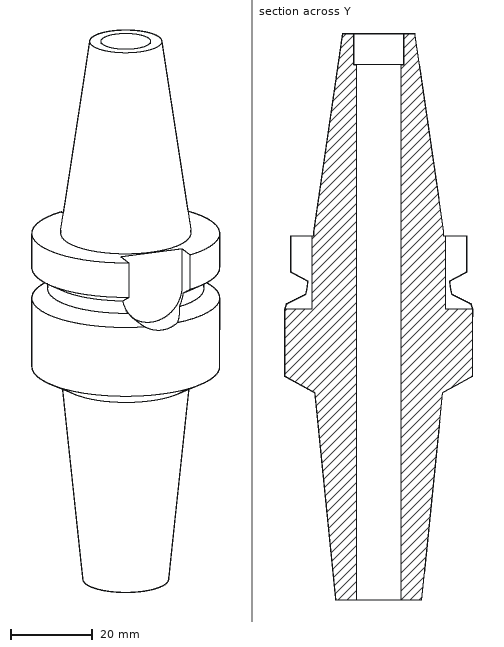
import cadquery as cq


taper_length = 48.5
gauge_radius = 15.9
taper_ratio = 7 / 24
taper_tip_radius = gauge_radius - taper_length * taper_ratio / 2

flange_radius = 23.0
groove_radius = 19.1
flange_top = -1.0
flange_bottom = -9.8
groove_top = -12.0
groove_bottom = -15.2
body_top = -17.6
body_bottom = -35.3

nose_top = -39.3
nose_bottom = taper_length - 138.4
nose_top_radius = 15.6
nose_tip_radius = 10.5

shank_bore_radius = 6.1
shank_bore_depth = 7.6
through_bore_radius = 5.4

slot_width = 16.2
slot_floor_distance = 16.3
slot_bottom = -18.8


def turned_body():
    """Solid of revolution bounded by the outer profile."""
    profile = [
        (0, taper_length),
        (taper_tip_radius, taper_length),
        (gauge_radius, 0),
        (gauge_radius, flange_top),
        (flange_radius, flange_top),
        (flange_radius, flange_bottom),
        (groove_radius, groove_top),
        (groove_radius, groove_bottom),
        (flange_radius, body_top),
        (flange_radius, body_bottom),
        (nose_top_radius, nose_top),
        (nose_tip_radius, nose_bottom),
        (0, nose_bottom),
    ]
    return cq.Workplane("XZ").polyline(profile).close().revolve(360, (0, 0), (0, 1))


def axial_bore():
    """Through bore with the wider counterbore at the shank end."""
    through = (
        cq.Workplane("XY", origin=(0, 0, nose_bottom))
        .circle(through_bore_radius)
        .extrude(taper_length - nose_bottom)
    )
    counterbore = (
        cq.Workplane("XY", origin=(0, 0, taper_length))
        .circle(shank_bore_radius)
        .extrude(-shank_bore_depth)
    )
    return through.union(counterbore)


def drive_slot(side):
    """Flat-floored slot on the +X (side = 1) or -X (side = -1) flank."""
    half_width = slot_width / 2
    arc_center = slot_bottom + half_width
    return (
        cq.Workplane("YZ", origin=(side * slot_floor_distance, 0, 0))
        .moveTo(-half_width, flange_top)
        .lineTo(-half_width, arc_center)
        .threePointArc((0, slot_bottom), (half_width, arc_center))
        .lineTo(half_width, flange_top)
        .close()
        .extrude(side * flange_radius)
    )


result = turned_body().cut(axial_bore())
for side in (-1, 1):
    result = result.cut(drive_slot(side))